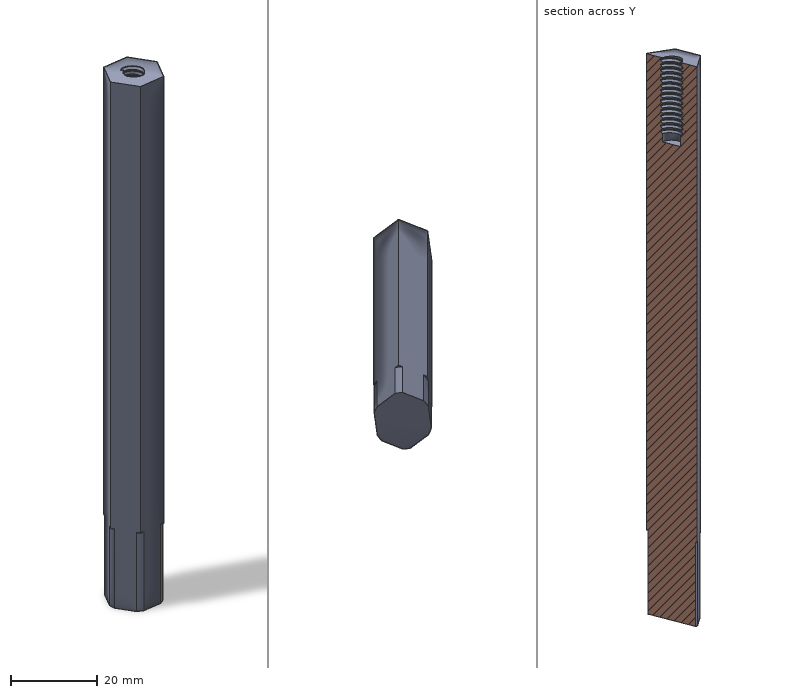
import cadquery as cq
import math

hexagon_sides = 6
length = 139.2
across_flats = 12.7
across_corners = across_flats / math.cos(math.pi / hexagon_sides)

turned_length = 20.9
corner_trim = 0.46
turned_radius = across_corners / 2 - corner_trim

major_diameter = 6.4
major_radius = major_diameter / 2
pitch = 1.27
hole_depth = 20.9
thread_turns = 15
flank_angle = 30
flank_slope = math.tan(math.radians(flank_angle))
root_flat = pitch / 8
opening_width = 3 * pitch / 4
thread_depth = (opening_width - root_flat) / 2 / flank_slope
minor_radius = major_radius - thread_depth
groove_overlap = 0.1


def hexagonal_bar():
    return cq.Workplane("XY").polygon(hexagon_sides, across_corners).extrude(length)


def corner_relief():
    """Ring outside the turned radius, cut from the lower end."""
    return (
        cq.Workplane("XY")
        .circle(across_corners)
        .circle(turned_radius)
        .extrude(turned_length)
    )


def drilled_hole():
    """Drill for the thread, turned so its seam line stays clear of the groove ends on the X axis."""
    drill = cq.Workplane("XY", origin=(0, 0, length - hole_depth)).circle(minor_radius).extrude(hole_depth)
    return drill.rotate((0, 0, 0), (0, 0, 1), 90)


def thread_groove():
    """Helical groove cutter that ends on the top face at the -X side."""
    thread_length = thread_turns * pitch
    inner_radius = minor_radius - groove_overlap
    inner_half_width = opening_width / 2 + groove_overlap * flank_slope
    helix = cq.Wire.makeHelix(pitch, thread_length, minor_radius)
    profile = (
        cq.Workplane("XZ")
        .moveTo(inner_radius, -inner_half_width)
        .lineTo(major_radius, -root_flat / 2)
        .lineTo(major_radius, root_flat / 2)
        .lineTo(inner_radius, inner_half_width)
        .close()
    )
    groove = profile.sweep(cq.Workplane(helix), isFrenet=True)
    return groove.rotate((0, 0, 0), (0, 0, 1), 180).translate((0, 0, length - thread_length))


result = hexagonal_bar().cut(corner_relief()).cut(drilled_hole()).cut(thread_groove())